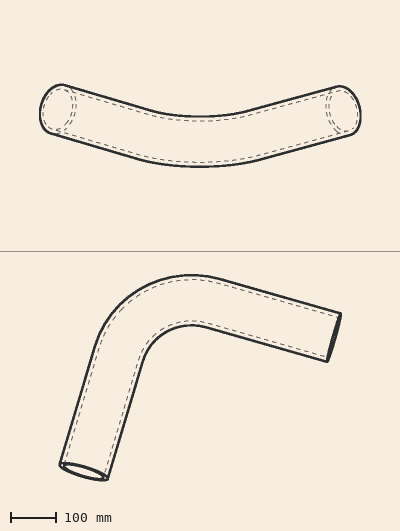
import cadquery as cq
import math

outer_diameter = 110.0
bore_diameter = 90.0
straight_length = 275.0
bend_radius = 1.5 * outer_diameter

leg_end = bend_radius + straight_length
bend_middle = bend_radius * (1 - math.sin(math.radians(45)))


def make_centreline():
    """Leg along +X, quarter-circle bend, then leg along +Y."""
    return (
        cq.Workplane("XY")
        .moveTo(-leg_end, 0)
        .lineTo(-bend_radius, 0)
        .threePointArc((-bend_middle, bend_middle), (0, bend_radius))
        .lineTo(0, leg_end)
    )


def make_pipe():
    """Ring section swept along the centreline, open at both ends."""
    ring = (
        cq.Workplane("YZ", origin=(-leg_end, 0, 0))
        .circle(outer_diameter / 2)
        .circle(bore_diameter / 2)
    )
    return ring.sweep(make_centreline())


result = make_pipe()